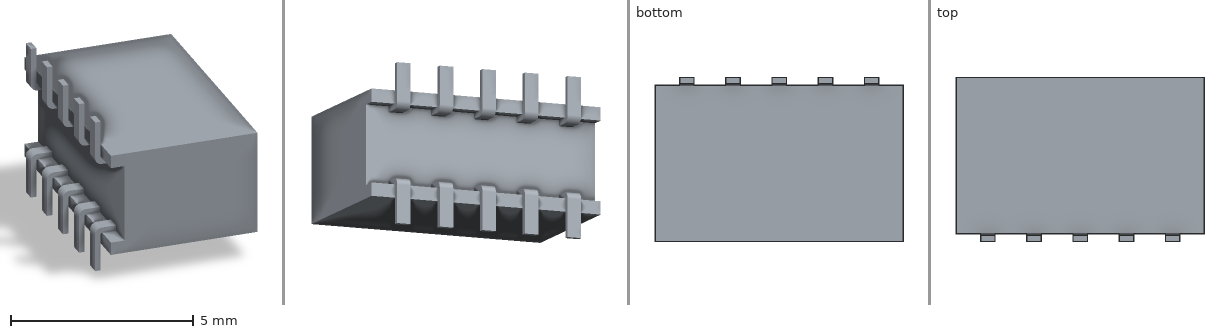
import cadquery as cq
import math

body_length = 6.81
overall_depth = 4.5
lead_span = 4.5

body_height = 3.0
lead_projection = 0.21
body_depth = overall_depth - lead_projection
flange_thickness = 0.375
channel_depth = 0.4
channel_height = body_height - 2 * flange_thickness

leads_per_row = 5
lead_pitch = 1.27
lead_width = 0.4
lead_thickness = 0.165
bend_radius = 0.2
inner_bend_radius = bend_radius - lead_thickness

body_front = lead_projection
channel_floor = body_front + channel_depth


def make_body():
    block = cq.Workplane("XY").box(body_length, body_depth, body_height, centered=(True, False, True))
    channel = cq.Workplane("XY").box(
        body_length, channel_depth, channel_height, centered=(True, False, True)
    )
    return block.cut(channel).translate((0, body_front, 0))


def make_upper_lead():
    """L-shaped lead running out along the upper flange, then bent upward."""
    flange_inner = channel_height / 2
    lead_bottom = flange_inner - lead_thickness
    lead_tip = lead_span / 2
    bend_center_y = bend_radius
    bend_center_z = lead_bottom + bend_radius

    def bend_middle(radius):
        diagonal = radius * math.sqrt(0.5)
        return (bend_center_y - diagonal, bend_center_z - diagonal)

    return (
        cq.Workplane("YZ")
        .moveTo(channel_floor, flange_inner)
        .lineTo(channel_floor, lead_bottom)
        .lineTo(bend_center_y, lead_bottom)
        .threePointArc(bend_middle(bend_radius), (0, bend_center_z))
        .lineTo(0, lead_tip)
        .lineTo(lead_thickness, lead_tip)
        .lineTo(lead_thickness, bend_center_z)
        .threePointArc(bend_middle(inner_bend_radius), (bend_center_y, flange_inner))
        .close()
        .extrude(lead_width / 2, both=True)
    )


result = make_body()
upper_lead = make_upper_lead()
lower_lead = upper_lead.mirror("XY")
for index in range(leads_per_row):
    lead_x = (index - (leads_per_row - 1) / 2) * lead_pitch
    for lead in (upper_lead, lower_lead):
        result = result.union(lead.translate((lead_x, 0, 0)))